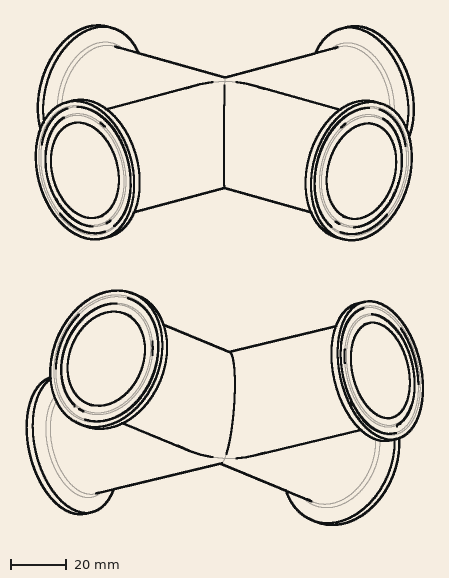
import cadquery as cq
import math

span = 139.7
tube_diameter = 38.1
bore_diameter = 34.8

flange_diameter = 50.5
rim_thickness = 2.8
cone_angle = 20.0
neck_fillet = 1.4

groove_diameter = 43.6
groove_radius = 1.3
groove_depth = 1.4
groove_lip_fillet = 0.5

half_span = span / 2
tube_radius = tube_diameter / 2
flange_radius = flange_diameter / 2
cone_length = (flange_radius - tube_radius) * math.tan(math.radians(cone_angle))


def make_pipe():
    """Solid pipe along X with a clamp ferrule at both ends."""
    rim_back = half_span - rim_thickness
    neck = rim_back - cone_length
    profile = (
        cq.Workplane("XY")
        .moveTo(-half_span, 0)
        .lineTo(-half_span, flange_radius)
        .lineTo(-rim_back, flange_radius)
        .lineTo(-neck, tube_radius)
        .lineTo(neck, tube_radius)
        .lineTo(rim_back, flange_radius)
        .lineTo(half_span, flange_radius)
        .lineTo(half_span, 0)
        .close()
    )
    pipe = profile.revolve(360, (0, 0, 0), (1, 0, 0))
    smallest_circles = cq.selectors.RadiusNthSelector(0)
    return pipe.edges("%CIRCLE").edges(smallest_circles).fillet(neck_fillet)


def cut_gasket_groove(pipe, end):
    """Cut the ring groove into the face at the given end (-1 or 1)."""
    groove_center_x = end * (half_span + groove_radius - groove_depth)
    groove = cq.Solid.makeTorus(
        groove_diameter / 2, groove_radius, cq.Vector(groove_center_x, 0, 0), cq.Vector(1, 0, 0)
    )
    grooved = pipe.cut(cq.Workplane(obj=groove))
    face = ">X" if end > 0 else "<X"
    rim_edge = cq.selectors.RadiusNthSelector(0, directionMax=False)
    groove_lips = grooved.faces(face).edges().edges(cq.selectors.InverseSelector(rim_edge))
    return groove_lips.fillet(groove_lip_fillet)


pipe_x = make_pipe()
for end in (-1, 1):
    pipe_x = cut_gasket_groove(pipe_x, end)

pipe_y = pipe_x.rotate((0, 0, 0), (0, 0, 1), 90)
bore_x = cq.Workplane("YZ").circle(bore_diameter / 2).extrude(half_span, both=True)
bore_y = bore_x.rotate((0, 0, 0), (0, 0, 1), 90)

result = pipe_x.union(pipe_y).cut(bore_x).cut(bore_y)